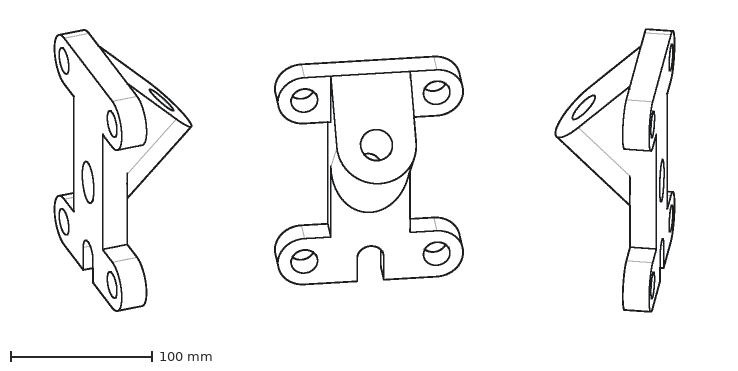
import cadquery as cq
import math

height = 169.8
width = 132.0
thickness = 18.8
web_width = 56.5
lug_radius = 18.8
lug_hole_diameter = 18.8
slot_width = 18.8
slot_center_height = 18.8

boss_reach = 56.9
boss_bore_diameter = 22.5
boss_radius = web_width / 2
boss_center_distance = boss_reach * math.sqrt(2) - boss_radius

lug_x = width / 2 - lug_radius
lug_heights = (lug_radius, height - lug_radius)
cut_length = 2 * height


def front_plane():
    """Plane of the flat face, with its normal pointing into the plate (+Y)."""
    return cq.Workplane(cq.Plane(origin=(0, 0, 0), xDir=(-1, 0, 0), normal=(0, 1, 0)))


def boss_plane():
    """Plane of the boss end face; local Y runs down the slope from the plate edge."""
    return cq.Workplane(
        cq.Plane(origin=(0, thickness, height), xDir=(1, 0, 0), normal=(0, 1, 1))
    )


def make_plate():
    plate = front_plane().center(0, height / 2).rect(web_width, height).extrude(thickness)
    for lug_height in lug_heights:
        bar = front_plane().center(0, lug_height).slot2D(width, 2 * lug_radius).extrude(thickness)
        plate = plate.union(bar)

    hole_points = [(side * lug_x, z) for side in (-1, 1) for z in lug_heights]
    holes = front_plane().pushPoints(hole_points).circle(lug_hole_diameter / 2).extrude(thickness)
    return plate.cut(holes)


def make_slot():
    """Round-topped slot, open at the bottom edge of the plate."""
    half_width = slot_width / 2
    return (
        front_plane()
        .moveTo(-half_width, 0)
        .lineTo(-half_width, slot_center_height)
        .threePointArc((0, slot_center_height + half_width), (half_width, slot_center_height))
        .lineTo(half_width, 0)
        .close()
        .extrude(thickness)
    )


def make_boss():
    """Round-ended boss, trimmed flush with the rear face of the plate."""
    column = (
        boss_plane()
        .moveTo(-boss_radius, 0)
        .lineTo(-boss_radius, boss_center_distance)
        .threePointArc(
            (0, boss_center_distance + boss_radius), (boss_radius, boss_center_distance)
        )
        .lineTo(boss_radius, 0)
        .close()
        .extrude(-cut_length)
    )
    space_behind_plate = (
        cq.Workplane("XY")
        .box(width, boss_reach, height, centered=(True, False, False))
        .translate((0, thickness, 0))
    )
    return column.intersect(space_behind_plate)


def make_bore():
    """Bore along the boss axis, through both boss and plate."""
    return (
        boss_plane()
        .center(0, boss_center_distance)
        .circle(boss_bore_diameter / 2)
        .extrude(-cut_length)
    )


result = make_plate().cut(make_slot()).union(make_boss()).cut(make_bore())